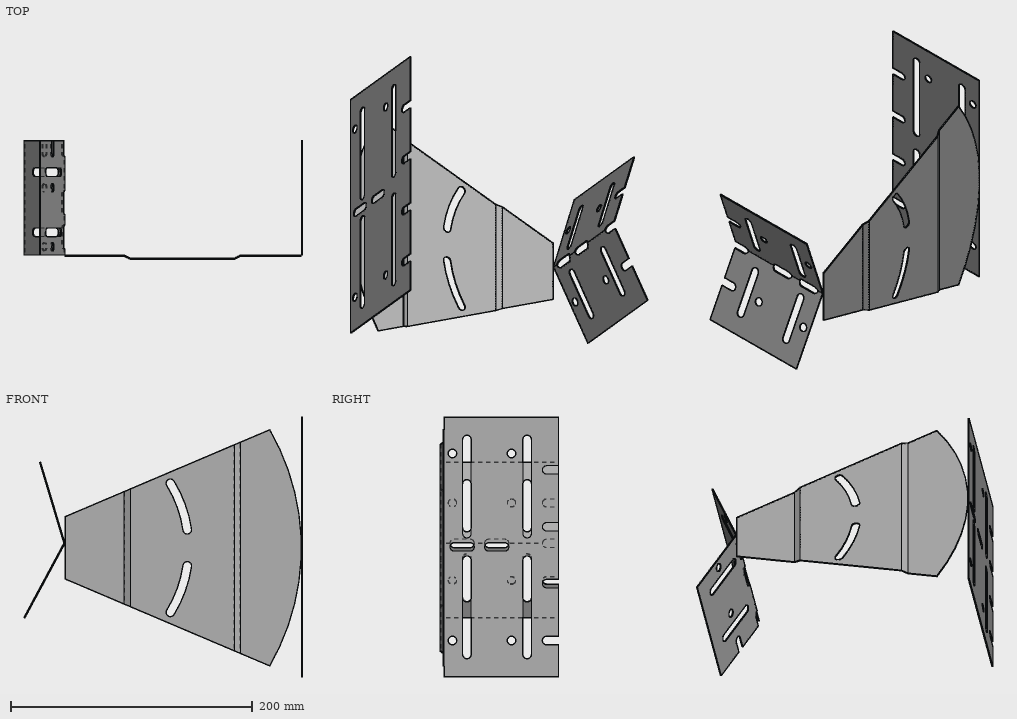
import cadquery as cq
import math


OVERALL_LENGTH = 231.0
OVERALL_DEPTH = 98.4
SHEET = 1.0
CUT_REACH = 4 * SHEET

PLATE_DEPTH = 95.0
OPENING_WIDTH = 7.0
NOTCH_DEPTH = 13.5
LONG_SLOT_Y = (19.0, 68.8)
HOLE_Y = (7.0, 56.0)
CROSS_SLOT_Y = (15.0, 43.6)
CROSS_SLOT_LENGTH = 20.0

LEG_LENGTH = 70.2
UPPER_LEG_TILT = 16.7
LOWER_LEG_TILT = 28.3
BEND_Z = 3.7
LEG_SLOT_START = 10.2
LEG_SLOT_LENGTH = 45.0
LEG_HOLE_POSITION = LEG_LENGTH / 2

STRAIGHT_HEIGHT = 215.0
STRAIGHT_CENTRE_Z = 0.7
STRAIGHT_SLOT_MARGIN = 15.0
STRAIGHT_SLOT_LENGTH = 85.0
STRAIGHT_HOLE_MARGIN = 30.0
NOTCH_PITCH = 47.0
NOTCH_COUNT = 4

INNER_HALF_WIDTH = 25.9
CORNER_ANGLE = 30.0
ARC_SLOT_RADIUS = 102.3
ARC_SLOT_START = 8.4
ARC_SLOT_END = 31.5
JOGGLE_DEPTH = OVERALL_DEPTH - PLATE_DEPTH - SHEET
JOGGLE_RUN = 5.0
JOGGLE_STARTS = (49.2, 145.0)


def tilted(angle, along, inward):
    """X and Z offsets from the bend of a point on a leg.

    The leg rises for a positive angle and falls for a negative one. The point lies a distance
    along the outer face, then a distance inward through the sheet.
    """
    a = math.radians(abs(angle))
    rise = math.copysign(1, angle)
    x = -along * math.sin(a) - inward * math.cos(a)
    z = rise * (along * math.cos(a) - inward * math.sin(a))
    return (x, z)


LOWER_TIP_X = tilted(-LOWER_LEG_TILT, LEG_LENGTH, SHEET)[0]
STRAIGHT_OUTER_X = OVERALL_LENGTH + LOWER_TIP_X
STRAIGHT_INNER_X = STRAIGHT_OUTER_X - SHEET
SECTOR_RADIUS = STRAIGHT_INNER_X


def slot_cutter(plane, y, position, length, angle):
    """A slot centred at (y, position) on a plate plane, deep enough to pass through the sheet."""
    return (
        cq.Workplane(plane)
        .center(y, position)
        .slot2D(length, OPENING_WIDTH, angle)
        .extrude(CUT_REACH, both=True)
    )


def cut_long_slots(plate, plane, position, length):
    for y in LONG_SLOT_Y:
        plate = plate.cut(slot_cutter(plane, y, position, length, 90))
    return plate


def cut_cross_slots(plate, plane, position):
    for y in CROSS_SLOT_Y:
        plate = plate.cut(slot_cutter(plane, y, position, CROSS_SLOT_LENGTH, 0))
    return plate


def cut_holes(plate, plane, position):
    centres = [(y, position) for y in HOLE_Y]
    cutter = cq.Workplane(plane).pushPoints(centres).circle(OPENING_WIDTH / 2).extrude(CUT_REACH, both=True)
    return plate.cut(cutter)


def cut_notch(plate, plane, position):
    """A round-ended notch: a slot centred on the rear edge, so half of it lies in the plate."""
    return plate.cut(slot_cutter(plane, PLATE_DEPTH, position, 2 * NOTCH_DEPTH, 0))


def make_bent_plate():
    half_bend = math.radians(UPPER_LEG_TILT + LOWER_LEG_TILT) / 2
    mitre = SHEET * math.tan(half_bend)
    points = [
        (0, 0),
        tilted(UPPER_LEG_TILT, LEG_LENGTH, 0),
        tilted(UPPER_LEG_TILT, LEG_LENGTH, SHEET),
        tilted(UPPER_LEG_TILT, mitre, SHEET),
        tilted(-LOWER_LEG_TILT, LEG_LENGTH, SHEET),
        tilted(-LOWER_LEG_TILT, LEG_LENGTH, 0),
    ]
    profile = cq.Workplane("XZ", origin=(0, 0, BEND_Z)).polyline(points).close()
    plate = profile.extrude(-PLATE_DEPTH)

    for tilt in (UPPER_LEG_TILT, -LOWER_LEG_TILT):
        along_x, along_z = tilted(tilt, 1, 0)
        normal = (along_z, 0, -along_x)
        plane = cq.Plane(origin=(0, 0, BEND_Z), xDir=(0, 1, 0), normal=normal)
        plate = cut_long_slots(plate, plane, LEG_SLOT_START + LEG_SLOT_LENGTH / 2, LEG_SLOT_LENGTH)
        plate = cut_holes(plate, plane, LEG_HOLE_POSITION)
        plate = cut_notch(plate, plane, LEG_HOLE_POSITION)

    bend_plane = cq.Plane(origin=(0, 0, BEND_Z), xDir=(0, 1, 0), normal=(1, 0, 0))
    plate = cut_cross_slots(plate, bend_plane, 0)
    return cut_notch(plate, bend_plane, 0)


def make_straight_plate():
    plane = cq.Plane(origin=(STRAIGHT_INNER_X, 0, STRAIGHT_CENTRE_Z), xDir=(0, 1, 0), normal=(1, 0, 0))
    plate = cq.Workplane(plane).center(PLATE_DEPTH / 2, 0).rect(PLATE_DEPTH, STRAIGHT_HEIGHT).extrude(SHEET)

    slot_offset = STRAIGHT_HEIGHT / 2 - STRAIGHT_SLOT_MARGIN - STRAIGHT_SLOT_LENGTH / 2
    hole_offset = STRAIGHT_HEIGHT / 2 - STRAIGHT_HOLE_MARGIN
    for side in (-1, 1):
        plate = cut_long_slots(plate, plane, side * slot_offset, STRAIGHT_SLOT_LENGTH)
        plate = cut_holes(plate, plane, side * hole_offset)
    plate = cut_cross_slots(plate, plane, 0)
    for index in range(NOTCH_COUNT):
        plate = cut_notch(plate, plane, index * NOTCH_PITCH - hole_offset)
    return plate


def polar(radius, degrees):
    angle = math.radians(degrees)
    return (radius * math.cos(angle), radius * math.sin(angle))


def make_arc_slot(side):
    """A curved slot about the hinge axis, above (side = 1) or below (side = -1) the centre line."""
    inner = ARC_SLOT_RADIUS - OPENING_WIDTH / 2
    outer = ARC_SLOT_RADIUS + OPENING_WIDTH / 2
    start = side * ARC_SLOT_START
    end = side * ARC_SLOT_END
    middle = (start + end) / 2
    cap = side * math.degrees(OPENING_WIDTH / 2 / ARC_SLOT_RADIUS)
    return (
        cq.Workplane("XZ")
        .moveTo(*polar(inner, start))
        .threePointArc(polar(inner, middle), polar(inner, end))
        .threePointArc(polar(ARC_SLOT_RADIUS, end + cap), polar(outer, end))
        .threePointArc(polar(outer, middle), polar(outer, start))
        .threePointArc(polar(ARC_SLOT_RADIUS, start - cap), polar(inner, start))
        .close()
        .extrude(PLATE_DEPTH, both=True)
    )


def make_sector_plate():
    left, right = JOGGLE_STARTS
    back = [
        (0, 0),
        (left, 0),
        (left + JOGGLE_RUN, -JOGGLE_DEPTH),
        (right - JOGGLE_RUN, -JOGGLE_DEPTH),
        (right, 0),
        (SECTOR_RADIUS, 0),
    ]
    shift = SHEET * math.tan(math.atan2(JOGGLE_DEPTH, JOGGLE_RUN) / 2)
    front = [
        (SECTOR_RADIUS, -SHEET),
        (right + shift, -SHEET),
        (right - JOGGLE_RUN + shift, -JOGGLE_DEPTH - SHEET),
        (left + JOGGLE_RUN - shift, -JOGGLE_DEPTH - SHEET),
        (left - shift, -SHEET),
        (0, -SHEET),
    ]
    sheet = cq.Workplane("XY").polyline(back + front).close().extrude(SECTOR_RADIUS, both=True)

    outline = (
        cq.Workplane("XZ")
        .moveTo(0, -INNER_HALF_WIDTH)
        .lineTo(*polar(SECTOR_RADIUS, -CORNER_ANGLE))
        .threePointArc((SECTOR_RADIUS, 0), polar(SECTOR_RADIUS, CORNER_ANGLE))
        .lineTo(0, INNER_HALF_WIDTH)
        .close()
        .extrude(PLATE_DEPTH, both=True)
    )
    plate = sheet.intersect(outline)
    for side in (-1, 1):
        plate = plate.cut(make_arc_slot(side))
    return plate


bent_plate = make_bent_plate()
straight_plate = make_straight_plate()
sector_plate = make_sector_plate()

result = cq.Compound.makeCompound([bent_plate.val(), straight_plate.val(), sector_plate.val()])